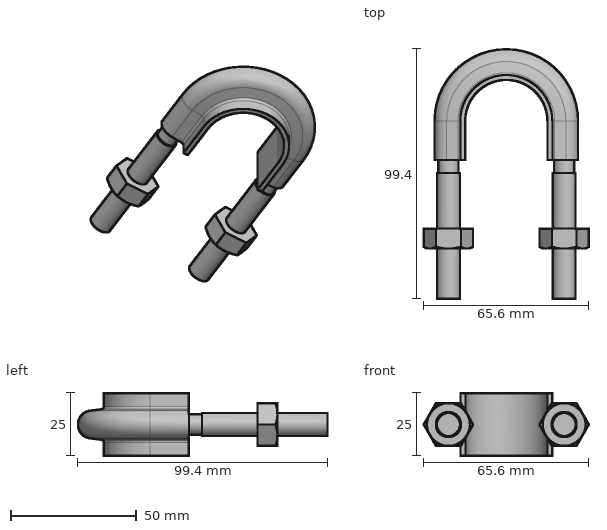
import cadquery as cq
import math

LEG_SPACING = 46.0
BEND_RADIUS = LEG_SPACING / 2
NECK_DIAMETER = 8.2
THREAD_DIAMETER = 9.2
THREAD_LENGTH = 50.0
NECK_LENGTH = 5.2

TUBE_RADIUS = 5.6
BAND_WIDTH = 25.0
BAND_THICKNESS = 2.0
BAND_OUTER_RADIUS = 18.3
BAND_INNER_RADIUS = BAND_OUTER_RADIUS - BAND_THICKNESS
FLANK_ANGLE = math.radians(7)
BLEND_RADIUS = 1.0
OVERALL_LENGTH = 99.35
SLEEVE_LEG = OVERALL_LENGTH - THREAD_LENGTH - NECK_LENGTH - BEND_RADIUS - TUBE_RADIUS

NUT_ACROSS_FLATS = 17.0
NUT_ACROSS_CORNERS = NUT_ACROSS_FLATS / math.cos(math.pi / 6)
NUT_THICKNESS = 8.0
NUT_FACE_DIAMETER = NUT_ACROSS_FLATS
NUT_CHAMFER_ANGLE = math.radians(30)
BORE_CHAMFER = 0.4
NUT_FACE_TO_ROD_END = 20.0

SLEEVE_END = -SLEEVE_LEG
THREAD_START = SLEEVE_END - NECK_LENGTH
ROD_END = THREAD_START - THREAD_LENGTH
NUT_OUTER_FACE = ROD_END + NUT_FACE_TO_ROD_END

LEG_SIDES = (-1, 1)


def leg_cylinder(side, diameter, start, length):
    """Cylinder on one leg axis, running from Y = start towards -Y."""
    axis_point = cq.Vector(side * BEND_RADIUS, start, 0)
    return cq.Workplane(cq.Solid.makeCylinder(diameter / 2, length, axis_point, cq.Vector(0, -1, 0)))


def sweep_along_u(profile):
    """Carry a profile, drawn on XZ at the +X leg, round the bend and down both legs."""
    outline = profile.wire().val()
    bend = cq.Workplane(cq.Solid.revolve(outline, [], 180, cq.Vector(0, 0, 0), cq.Vector(0, 0, 1)))
    leg = cq.Workplane(cq.Solid.extrudeLinear(outline, [], cq.Vector(0, -SLEEVE_LEG, 0)))
    return bend.union(leg).union(leg.mirror("YZ"))


def rod_core():
    """Bare rod inside the sleeve."""
    return sweep_along_u(cq.Workplane("XZ").moveTo(BEND_RADIUS, 0).circle(NECK_DIAMETER / 2))


def make_u_bolt():
    bolt = rod_core()
    for side in LEG_SIDES:
        bolt = bolt.union(leg_cylinder(side, NECK_DIAMETER, SLEEVE_END, NECK_LENGTH))
        bolt = bolt.union(leg_cylinder(side, THREAD_DIAMETER, THREAD_START, THREAD_LENGTH))
    return bolt


def make_sleeve():
    half_width = BAND_WIDTH / 2
    touch_x = BEND_RADIUS + TUBE_RADIUS * math.sin(FLANK_ANGLE)
    touch_z = TUBE_RADIUS * math.cos(FLANK_ANGLE)
    flank_end_z = touch_z + (touch_x - BAND_OUTER_RADIUS) * math.tan(FLANK_ANGLE)
    blend_reach = BLEND_RADIUS * math.tan((math.pi / 2 - FLANK_ANGLE) / 2)
    blend_x = BAND_OUTER_RADIUS + blend_reach * math.cos(FLANK_ANGLE)
    blend_z = flank_end_z - blend_reach * math.sin(FLANK_ANGLE)
    band_z = flank_end_z + blend_reach

    profile = (
        cq.Workplane("XZ")
        .moveTo(BAND_INNER_RADIUS, -half_width)
        .lineTo(BAND_OUTER_RADIUS, -half_width)
        .lineTo(BAND_OUTER_RADIUS, -band_z)
        .tangentArcPoint((blend_x, -blend_z), relative=False)
        .lineTo(touch_x, -touch_z)
        .threePointArc((BEND_RADIUS + TUBE_RADIUS, 0), (touch_x, touch_z))
        .lineTo(blend_x, blend_z)
        .tangentArcPoint((BAND_OUTER_RADIUS, band_z), relative=False)
        .lineTo(BAND_OUTER_RADIUS, half_width)
        .lineTo(BAND_INNER_RADIUS, half_width)
        .close()
    )
    return sweep_along_u(profile).cut(rod_core())


def make_nut(side):
    hexagon = cq.Workplane("XY").polygon(6, NUT_ACROSS_CORNERS).extrude(-NUT_THICKNESS)
    face_radius = NUT_FACE_DIAMETER / 2
    cone_base_radius = face_radius + NUT_THICKNESS / math.tan(NUT_CHAMFER_ANGLE)
    cone = cq.Solid.makeCone(cone_base_radius, face_radius, NUT_THICKNESS, cq.Vector(0, 0, -NUT_THICKNESS))
    nut = hexagon.intersect(cq.Workplane(cone))
    nut = nut.faces(">Z").workplane().hole(THREAD_DIAMETER)
    nut = nut.faces(">Z").edges(cq.selectors.RadiusNthSelector(0)).chamfer(BORE_CHAMFER)
    nut = nut.rotate((0, 0, 0), (1, 0, 0), 90)
    return nut.translate((side * BEND_RADIUS, NUT_OUTER_FACE, 0))


u_bolt = make_u_bolt()
sleeve = make_sleeve()
nuts = [make_nut(side) for side in LEG_SIDES]

result = cq.Compound.makeCompound([u_bolt.val(), sleeve.val(), *[nut.val() for nut in nuts]])